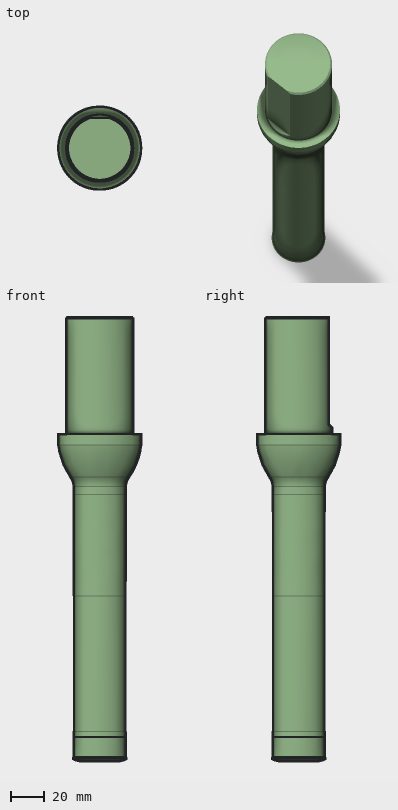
import cadquery as cq

total_length = 265.0
shank_length = 70.0
collar_height = 6.4
collar_top = total_length - shank_length
collar_bottom = collar_top - collar_height
flare_bottom = 169.5
blend_bottom = 163.8
band_bottom = 159.0
taper_bottom = 98.5
step_top = 17.8
head_height = 14.5

shank_radius = 40.0 / 2
collar_radius = 49.5 / 2
flare_end_radius = 17.5
band_radius = 31.3 / 2
neck_radius = 31.0 / 2
cutting_radius = 32.0 / 2
face_radius = 10.5

shank_chamfer = 1.0
flat_offset = 18.0
flat_ramp_bottom = 198.8

rim_height = 1.5
rim_flare_top = 2.6


def make_holder():
    """Shank, collar, flare and slender neck in one turned body, with a flat on the shank."""
    profile = (
        cq.Workplane("XZ")
        .moveTo(0, head_height)
        .lineTo(band_radius, head_height)
        .lineTo(neck_radius, step_top)
        .lineTo(neck_radius, taper_bottom)
        .lineTo(band_radius, band_bottom)
        .lineTo(band_radius, blend_bottom)
        .tangentArcPoint((flare_end_radius, flare_bottom), relative=False)
        .tangentArcPoint((collar_radius, collar_bottom), relative=False)
        .lineTo(collar_radius, collar_top)
        .lineTo(shank_radius, collar_top)
        .lineTo(shank_radius, total_length - shank_chamfer)
        .lineTo(shank_radius - shank_chamfer, total_length)
        .lineTo(0, total_length)
        .close()
    )
    turned = profile.revolve(360, (0, 0), (0, 1))
    return turned.cut(make_flat_cutter())


def make_flat_cutter():
    """Material removed on the +Y side of the shank: a flat with a 45 degree run-out."""
    flat_depth = shank_radius - flat_offset
    return (
        cq.Workplane("YZ")
        .moveTo(flat_offset, total_length)
        .lineTo(flat_offset, flat_ramp_bottom + flat_depth)
        .lineTo(shank_radius, flat_ramp_bottom)
        .lineTo(shank_radius, total_length)
        .close()
        .extrude(shank_radius, both=True)
    )


def make_cutting_head():
    """Short head with a rim that stands slightly proud and a rounded bottom corner."""
    profile = (
        cq.Workplane("XZ")
        .lineTo(face_radius, 0)
        .tangentArcPoint((cutting_radius, rim_height), relative=False)
        .lineTo(band_radius, rim_flare_top)
        .lineTo(band_radius, head_height)
        .lineTo(0, head_height)
        .close()
    )
    return profile.revolve(360, (0, 0), (0, 1))


holder = make_holder()
cutting_head = make_cutting_head()

result = cq.Compound.makeCompound([holder.val(), cutting_head.val()])